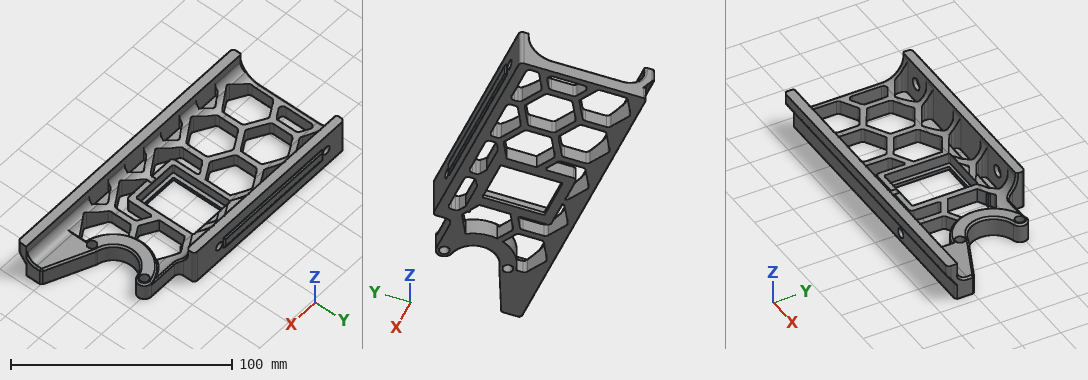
import cadquery as cq
import math

LENGTH = 150.5
HEIGHT = 20.0

BACK_FACE_Y = 66.0
BACK_INNER_Y = 61.4
FRONT_INNER_Y = 5.1
LOWER_FRONT_Y = 4.2
OVERHANG_Z = 14.6
SLOPE_FOOT_Z = 8.9
FLOOR_Z = 7.2
CAVITY_RADIUS = 11.0
END_CORNER_RADIUS = 1.8
EDGE_CHAMFER = 1.0
CAVITY_EDGE_RADIUS = 1.0

BACK_WALL_LENGTH = 104.7
WALL_END_FILLET = 2.9
PAD_THICKNESS = 0.9
PAD_START_X = 15.5
PAD_LENGTH = 69.2
PAD_BOTTOM_Z = 6.6
PAD_TOP_Z = 13.2
PAD_CHAMFER = 0.8
SCREW_HOLE_Z = 10.1
SCREW_HOLE_RADIUS = 2.3
SCREW_HEAD_RADIUS = 3.0
SCREW_HEAD_DEPTH = 2.1

FRONT_HOLE_Z = 4.4
FRONT_HOLE_RADIUS = 2.4
FRONT_HOLE_DEPTH = 6.0

HEX_PITCH = 25.0
HEX_WIDTH = 21.8
HEX_CORNER_RADIUS = 2.0
HEX_ROW_STEP = HEX_PITCH * math.sqrt(3) / 2
HEX_FIRST_X = 12.5
HEX_FIRST_Y = 19.5
HEX_MIN_X = 2.9
BESIDE_FRAME_COLUMNS = (2, 3)
FRONT_POCKET_HALF_WIDTH = 6.6

FRAME_X = (59.1, 91.2)
FRAME_Y = (14.1, 51.2)
FRAME_CORNER_RADIUS = 1.8
FRAME_BLEND_RADIUS = 0.9
FRAME_BACK_X = (54.6, 97.2)
FRAME_BACK_Y = 54.2
RECESS_X = (61.9, 87.9)
RECESS_Y = (17.0, 51.0)
RECESS_FLOOR_Z = 1.8
RECESS_CORNER_RADIUS = 0.8
WINDOW_X = (64.1, 86.1)
WINDOW_Y = (19.1, 49.4)
WINDOW_CORNER_RADIUS = 0.5

ARM_TOP_Z = 10.1
ARM_CENTER = (127.3, 37.0)
ARM_HOLE_X = 123.9
ARM_HOLE_OFFSET_Y = 15.5
ARM_HOLE_RADIUS = 2.4
ARM_HALF_WIDTH = 3.9
SKIRT_SIZE = 0.9
FOOT_START_X = 123.5
FOOT_TIP = (149.7, 14.3)
FOOT_SIDE_Y = 13.2
WALL_ROUND_RADIUS = 5.4

ARM_MID_RADIUS = math.hypot(ARM_CENTER[0] - ARM_HOLE_X, ARM_HOLE_OFFSET_Y)
ARM_INNER_RADIUS = ARM_MID_RADIUS - ARM_HALF_WIDTH
ARM_OUTER_RADIUS = ARM_MID_RADIUS + ARM_HALF_WIDTH
UPPER_HOLE = (ARM_HOLE_X, ARM_CENTER[1] + ARM_HOLE_OFFSET_Y)
LOWER_HOLE = (ARM_HOLE_X, ARM_CENTER[1] - ARM_HOLE_OFFSET_Y)


def polar(center, radius, angle):
    """Point at a radius and angle (radians) around a centre."""
    return (center[0] + radius * math.cos(angle), center[1] + radius * math.sin(angle))


def block(x_range, y_range, z_range):
    """Axis-aligned box between the given limits."""
    size = [limits[1] - limits[0] for limits in (x_range, y_range, z_range)]
    corner = (x_range[0], y_range[0], z_range[0])
    return cq.Workplane("XY").box(*size, centered=False).translate(corner)


def y_cylinder(x, z, radius, start_y, end_y):
    """Cylinder along Y between two Y positions."""
    cylinder = cq.Solid.makeCylinder(radius, end_y - start_y, cq.Vector(x, start_y, z), cq.Vector(0, 1, 0))
    return cq.Workplane(cylinder)


def tray_section():
    """Floor and both walls, with rounded transitions and an overhang on the front wall."""
    arc_top = FLOOR_Z + CAVITY_RADIUS
    reach = CAVITY_RADIUS * math.sqrt(0.5)
    back_center_y = BACK_INNER_Y - CAVITY_RADIUS
    front_center_y = FRONT_INNER_Y + CAVITY_RADIUS
    tray = (
        cq.Workplane("YZ")
        .moveTo(LOWER_FRONT_Y, 0)
        .lineTo(BACK_FACE_Y, 0)
        .lineTo(BACK_FACE_Y, HEIGHT)
        .lineTo(BACK_INNER_Y, HEIGHT)
        .lineTo(BACK_INNER_Y, arc_top)
        .threePointArc((back_center_y + reach, arc_top - reach), (back_center_y, FLOOR_Z))
        .lineTo(front_center_y, FLOOR_Z)
        .threePointArc((front_center_y - reach, arc_top - reach), (FRONT_INNER_Y, arc_top))
        .lineTo(FRONT_INNER_Y, HEIGHT)
        .lineTo(0, HEIGHT)
        .lineTo(0, OVERHANG_Z)
        .lineTo(LOWER_FRONT_Y, SLOPE_FOOT_Z)
        .close()
        .extrude(LENGTH)
    )
    lower_corners = cq.selectors.BoxSelector(
        (-1.5, LOWER_FRONT_Y - 0.2, 0), (LENGTH + 1.5, LOWER_FRONT_Y + 0.2, SLOPE_FOOT_Z)
    )
    tray = tray.edges("|Z").edges(lower_corners).fillet(END_CORNER_RADIUS)
    cavity_edge = cq.selectors.BoxSelector((-0.2, FRONT_INNER_Y - 0.2, FLOOR_Z - 0.2),
                                           (0.2, BACK_INNER_Y + 0.2, HEIGHT - 0.2))
    return tray.edges(cavity_edge).fillet(CAVITY_EDGE_RADIUS)


def front_groove(start_x):
    """Cutter that gives the front wall a tighter inner round from start_x to the right end."""
    center_y = FRONT_INNER_Y + WALL_ROUND_RADIUS
    center_z = ARM_TOP_Z + WALL_ROUND_RADIUS
    round_cut = cq.Solid.makeCylinder(
        WALL_ROUND_RADIUS, LENGTH - start_x, cq.Vector(start_x, center_y, center_z), cq.Vector(1, 0, 0)
    )
    upper = block((start_x, LENGTH), (FRONT_INNER_Y, center_y), (center_z, HEIGHT))
    return upper.union(cq.Workplane(round_cut))


def groove_flare(end_x, direction):
    """Conical cutter that chamfers the end of the front wall's round, narrowing along direction."""
    center_y = FRONT_INNER_Y + WALL_ROUND_RADIUS
    center_z = ARM_TOP_Z + WALL_ROUND_RADIUS
    cone = cq.Solid.makeCone(
        WALL_ROUND_RADIUS + EDGE_CHAMFER,
        WALL_ROUND_RADIUS,
        EDGE_CHAMFER,
        cq.Vector(end_x, center_y, center_z),
        cq.Vector(direction, 0, 0),
    )
    limits = block((0, LENGTH), (FRONT_INNER_Y, center_y), (0, center_z))
    return cq.Workplane(cone).intersect(limits)


def plan_outline():
    """Full-height solid whose outline bounds the part as seen from above."""
    to_tip = (FOOT_TIP[0] - LOWER_HOLE[0], FOOT_TIP[1] - LOWER_HOLE[1])
    tangent_angle = math.atan2(to_tip[1], to_tip[0]) + math.acos(ARM_HALF_WIDTH / math.hypot(*to_tip))
    lower_angle = math.atan2(ARM_HOLE_OFFSET_Y, ARM_CENTER[0] - ARM_HOLE_X)
    upper_angle = -lower_angle
    arm_top_y = UPPER_HOLE[1] + ARM_HALF_WIDTH
    plan = (
        cq.Workplane("XY")
        .moveTo(0, 0)
        .lineTo(LENGTH, 0)
        .lineTo(LENGTH, FOOT_SIDE_Y)
        .lineTo(*FOOT_TIP)
        .lineTo(*polar(LOWER_HOLE, ARM_HALF_WIDTH, tangent_angle))
        .threePointArc(
            polar(LOWER_HOLE, ARM_HALF_WIDTH, (tangent_angle + lower_angle) / 2),
            polar(LOWER_HOLE, ARM_HALF_WIDTH, lower_angle),
        )
        .threePointArc(
            (ARM_CENTER[0] - ARM_INNER_RADIUS, ARM_CENTER[1]),
            polar(UPPER_HOLE, ARM_HALF_WIDTH, upper_angle),
        )
        .threePointArc(polar(UPPER_HOLE, ARM_HALF_WIDTH, 0), (ARM_HOLE_X, arm_top_y))
        .lineTo(BACK_WALL_LENGTH, arm_top_y)
        .lineTo(BACK_WALL_LENGTH, BACK_FACE_Y)
        .lineTo(0, BACK_FACE_Y)
        .close()
        .extrude(HEIGHT)
    )
    for x, y, radius in (
        (0, 0, END_CORNER_RADIUS),
        (LENGTH, 0, END_CORNER_RADIUS),
        (0, BACK_FACE_Y, END_CORNER_RADIUS),
        (BACK_WALL_LENGTH, BACK_FACE_Y, END_CORNER_RADIUS),
        (BACK_WALL_LENGTH, arm_top_y, WALL_END_FILLET),
    ):
        corner = cq.selectors.NearestToPointSelector((x, y, HEIGHT / 2))
        plan = plan.edges("|Z").edges(corner).fillet(radius)
    return plan


def hexagon(x, y, bottom_z):
    """Sharp-cornered hexagonal prism with two sides along Y."""
    corner_circle = HEX_WIDTH / math.cos(math.pi / 6)
    return (
        cq.Workplane("XY", origin=(x, y, bottom_z))
        .transformed(rotate=(0, 0, 30))
        .polygon(6, corner_circle)
        .extrude(HEIGHT - bottom_z)
    )


def frame_body(height):
    """Main block around the window, with rounded front corners."""
    return block(FRAME_X, FRAME_Y, (0, height)).edges("|Z and <Y").fillet(FRAME_CORNER_RADIUS)


def honeycomb():
    """Two full rows of openings and a back row that stops at the back wall."""
    limits = block((HEX_MIN_X, LENGTH), (FRONT_INNER_Y, BACK_INNER_Y), (0, HEIGHT))
    above_floor = limits.translate((0, 0, FLOOR_Z))
    frame_block = frame_body(HEIGHT)
    beside_frame = cq.selectors.BoxSelector(
        (FRAME_X[0] - 0.2, HEX_FIRST_Y, 0), (FRAME_X[1] + 0.2, FRAME_Y[1], HEIGHT)
    )
    rows = (
        (HEX_FIRST_X, 0, 5),
        (HEX_FIRST_X - HEX_PITCH / 2, 1, 5),
        (HEX_FIRST_X, 2, 4),
    )
    openings = cq.Workplane("XY")
    for first_x, row, count in rows:
        for column in range(count):
            x = first_x + column * HEX_PITCH
            y = HEX_FIRST_Y + row * HEX_ROW_STEP
            opening = hexagon(x, y, 0).intersect(limits)
            opening = opening.edges("|Z").fillet(HEX_CORNER_RADIUS)
            if row == 0 and column in BESIDE_FRAME_COLUMNS:
                openings = openings.add(opening.intersect(above_floor))
                opening = opening.cut(frame_block)
                frame_corners = opening.edges("|Z").edges(beside_frame)
                opening = frame_corners.fillet(FRAME_BLEND_RADIUS)
            openings = openings.add(opening)
    return openings.combine()


def front_pockets():
    """Shallow pockets down to floor level where the next honeycomb row meets the front wall."""
    pockets = cq.Workplane("XY")
    for column in range(4):
        x = HEX_FIRST_X + (column + 0.5) * HEX_PITCH
        limits = block(
            (x - FRONT_POCKET_HALF_WIDTH, x + FRONT_POCKET_HALF_WIDTH), (FRONT_INNER_Y, HEX_FIRST_Y), (0, HEIGHT)
        )
        pocket = hexagon(x, HEX_FIRST_Y - HEX_ROW_STEP, FLOOR_Z).edges("|Z").fillet(HEX_CORNER_RADIUS)
        pockets = pockets.add(pocket.intersect(limits))
    return pockets.combine()


def arm(plan):
    """Curved arm and triangular foot with a chamfered top edge."""
    disc = cq.Workplane("XY").center(*ARM_CENTER).circle(ARM_OUTER_RADIUS).extrude(ARM_TOP_Z)
    foot = block((FOOT_START_X, LENGTH), (FRONT_INNER_Y, ARM_CENTER[1]), (0, ARM_TOP_Z))
    body = disc.union(foot).intersect(plan)
    body = body.faces(">Z").edges("not(<Y)").chamfer(EDGE_CHAMFER)
    round_y = FRONT_INNER_Y + WALL_ROUND_RADIUS
    wall_fill = block((FOOT_START_X, LENGTH), (FRONT_INNER_Y, round_y), (0, ARM_TOP_Z + WALL_ROUND_RADIUS))
    wall_fill = wall_fill.cut(front_groove(FOOT_START_X)).cut(groove_flare(FOOT_START_X, 1))
    return body.union(wall_fill)


def chamfer_back_edge(tray):
    """Chamfer the upper edge from the end of the back wall along to the arm."""
    arm_top_y = UPPER_HOLE[1] + ARM_HALF_WIDTH
    back_edge = cq.selectors.BoxSelector(
        (BACK_WALL_LENGTH + WALL_END_FILLET - 0.2, arm_top_y - 0.2, FLOOR_Z),
        (ARM_HOLE_X + 0.2, arm_top_y + 0.2, HEIGHT),
    )
    return tray.edges(back_edge).edges("|X").chamfer(EDGE_CHAMFER)


def arm_skirt():
    """Sloped ring that blends the outer side of the arm into the floor."""
    skirt = cq.Solid.makeCone(
        ARM_OUTER_RADIUS + SKIRT_SIZE, ARM_OUTER_RADIUS, SKIRT_SIZE, cq.Vector(*ARM_CENTER, FLOOR_Z)
    )
    return cq.Workplane(skirt)


def frame():
    """Solid block around the window, widened along its back edge."""
    back_strip = block(FRAME_BACK_X, (FRAME_Y[1], FRAME_BACK_Y), (0, FLOOR_Z))
    return frame_body(FLOOR_Z).union(back_strip)


def window():
    """Rectangular recess with a smaller window through its floor."""
    recess = block(RECESS_X, RECESS_Y, (RECESS_FLOOR_Z, HEIGHT)).edges("|Z").fillet(RECESS_CORNER_RADIUS)
    opening = block(WINDOW_X, WINDOW_Y, (0, HEIGHT)).edges("|Z").fillet(WINDOW_CORNER_RADIUS)
    return recess.union(opening)


def pad():
    """Thin raised pad on the outside of the back wall."""
    back_y = BACK_FACE_Y + PAD_THICKNESS
    raised = block((PAD_START_X, PAD_START_X + PAD_LENGTH), (BACK_INNER_Y, back_y), (PAD_BOTTOM_Z, PAD_TOP_Z))
    return raised.faces(">Y").chamfer(PAD_CHAMFER)


plan = plan_outline()
tray = tray_section().cut(front_groove(CAVITY_EDGE_RADIUS))
result = chamfer_back_edge(tray.intersect(plan)).union(arm_skirt().intersect(plan))
result = result.cut(honeycomb()).cut(front_pockets())
result = result.union(frame()).cut(window())
result = result.union(arm(plan)).cut(groove_flare(LENGTH, -1)).union(pad())

for center in (UPPER_HOLE, LOWER_HOLE):
    result = result.cut(cq.Workplane("XY").center(*center).circle(ARM_HOLE_RADIUS).extrude(HEIGHT))

for x in (HEX_FIRST_X, HEX_FIRST_X + 3 * HEX_PITCH):
    result = result.cut(y_cylinder(x, SCREW_HOLE_Z, SCREW_HOLE_RADIUS, BACK_INNER_Y, BACK_FACE_Y))
    head_end = BACK_INNER_Y + SCREW_HEAD_DEPTH
    result = result.cut(y_cylinder(x, SCREW_HOLE_Z, SCREW_HEAD_RADIUS, BACK_INNER_Y, head_end))

front_hole_x = HEX_FIRST_X + 3.5 * HEX_PITCH
front_hole_end = LOWER_FRONT_Y + FRONT_HOLE_DEPTH
result = result.cut(y_cylinder(front_hole_x, FRONT_HOLE_Z, FRONT_HOLE_RADIUS, 0, front_hole_end))